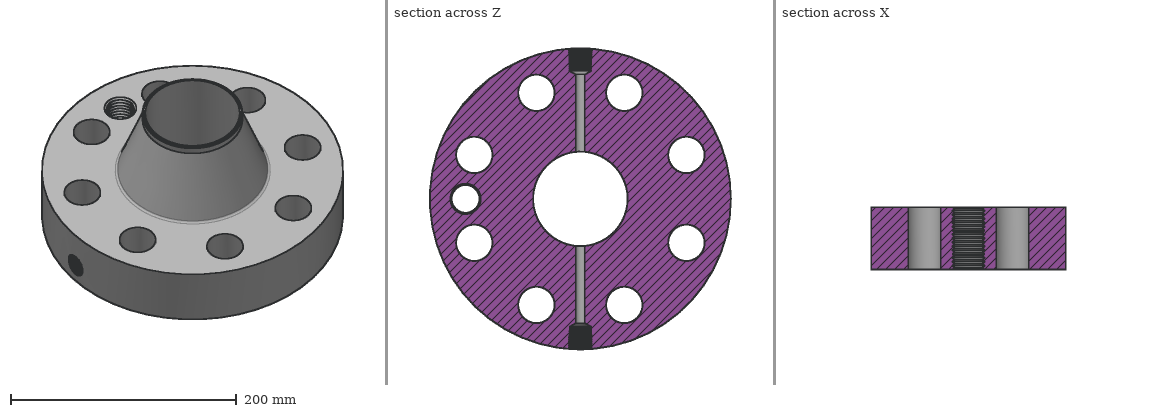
import cadquery as cq
import math

flange_diameter = 266.7
flange_thickness = 55.5
total_height = 125.3
bore_diameter = 83.5
neck_diameter = 88.8
neck_length = 7.0
bevel_height = 0.8
bevel_width = 1.0
hub_base_diameter = 134.0
hub_foot_fillet = 2.5

bolt_circle_diameter = 203.2
bolt_hole_count = 8
bolt_hole_diameter = 32.0

jack_major_diameter = 28.3
jack_minor_diameter = 24.5
jack_pitch = 3.5

tap_height = 19.0
tap_major_diameter = 21.0
tap_minor_diameter = 18.1
tap_pitch = 1.81
tap_thread_count = 12
tap_taper = 1 / 16
tap_cone_angle = 118.0
tap_passage_diameter = 9.0

flange_radius = flange_diameter / 2
bore_radius = bore_diameter / 2
neck_radius = neck_diameter / 2
bolt_circle_radius = bolt_circle_diameter / 2


def flange_body():
    """Revolved disc with a conical hub, a short neck and a bevelled weld end."""
    disc = cq.Workplane("XY").circle(flange_radius).extrude(flange_thickness)
    neck_bottom = total_height - neck_length
    hub = (
        cq.Workplane("XZ")
        .moveTo(0, 0)
        .lineTo(hub_base_diameter / 2, 0)
        .lineTo(hub_base_diameter / 2, flange_thickness)
        .lineTo(neck_radius, neck_bottom)
        .lineTo(neck_radius, total_height - bevel_height)
        .lineTo(neck_radius - bevel_width, total_height)
        .lineTo(0, total_height)
        .close()
        .revolve(360, (0, 0, 0), (0, 1, 0))
    )
    body = disc.union(hub)
    body = body.faces("%CONE").faces("<Z").edges("<Z").fillet(hub_foot_fillet)
    return body.cut(cq.Workplane("XY").circle(bore_radius).extrude(total_height))


def thread_outline(major_radius, minor_radius, pitch, count, taper=0.0):
    """Zigzag of (radius, depth) points: V grooves that start at the mouth."""
    points = []
    for turn in range(count):
        root_depth = turn * pitch
        crest_depth = root_depth + pitch / 2
        points.append((major_radius - root_depth * taper / 2, root_depth))
        points.append((minor_radius - crest_depth * taper / 2, crest_depth))
    return points


def bolt_holes():
    """Cylinders of the bolt holes, the first one half a step from the X axis."""
    return (
        cq.Workplane("XY")
        .polarArray(bolt_circle_radius, 180 / bolt_hole_count, 360, bolt_hole_count)
        .circle(bolt_hole_diameter / 2)
        .extrude(flange_thickness)
    )


def jack_screw_hole():
    """Annular V grooves along the whole thickness, entered from the top face."""
    count = math.ceil(flange_thickness / jack_pitch) + 1
    outline = thread_outline(jack_major_diameter / 2, jack_minor_diameter / 2, jack_pitch, count)
    last_depth = outline[-1][1]
    outline = [(0, 0)] + outline + [(0, last_depth)]
    return (
        cq.Workplane("XZ")
        .polyline([(radius, -depth) for radius, depth in outline])
        .close()
        .revolve(360, (0, 0, 0), (0, 1, 0))
        .translate((-bolt_circle_radius, 0, flange_thickness))
    )


def pressure_tap():
    """Tapered thread on the -Y side with a conical end and a passage to the bore."""
    outline = thread_outline(
        tap_major_diameter / 2, tap_minor_diameter / 2, tap_pitch, tap_thread_count, tap_taper
    )
    passage_radius = tap_passage_diameter / 2
    end_radius, end_depth = outline[-1]
    cone_depth = (end_radius - passage_radius) / math.tan(math.radians(tap_cone_angle / 2))
    outline = [(0, 0)] + outline + [
        (passage_radius, end_depth + cone_depth),
        (passage_radius, flange_radius),
        (0, flange_radius),
    ]
    return (
        cq.Workplane("XY")
        .polyline([(radius, depth - flange_radius) for radius, depth in outline])
        .close()
        .revolve(360, (0, 0, 0), (0, 1, 0))
        .translate((0, 0, tap_height))
    )


tap = pressure_tap()
result = (
    flange_body()
    .cut(bolt_holes())
    .cut(jack_screw_hole())
    .cut(tap)
    .cut(tap.mirror("XZ"))
)